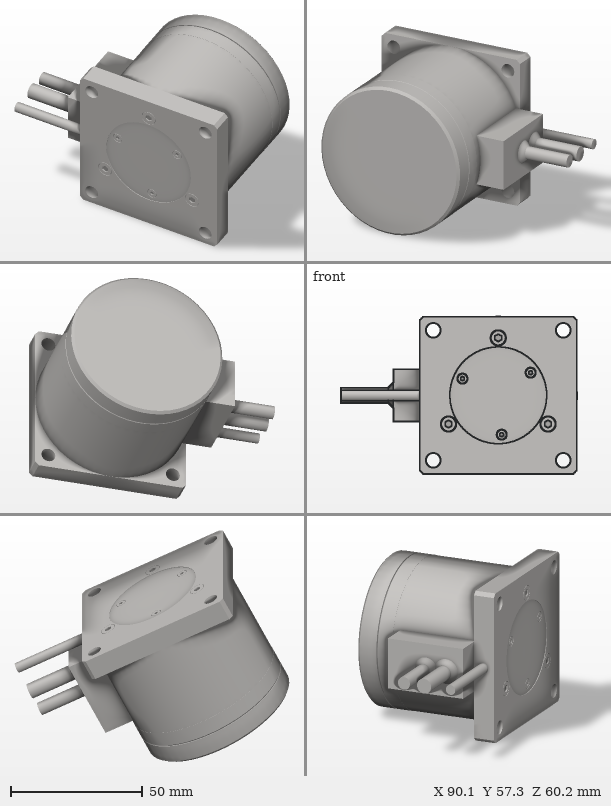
import cadquery as cq


flange_half = 30.0
flange_thickness = 8.4
flange_corner_chamfer = 1.4
mount_hole_offset = 24.8
mount_hole_diameter = 5.5

barrel_radius = flange_half
barrel_end = 42.9

cap_radius = 30.1
cap_end = 57.3
cap_thickness = 8.0
cap_chamfer = 1.0
cap_start = cap_end - cap_thickness
ring_chamfer = 0.5

block_overhang = 10.0
block_half_height = 10.0
block_end = 39.8
block_face = -(flange_half + block_overhang)

cable_end = -60.0
block_cables = [(15.5, 3.0), (24.0, 2.5)]
strain_relief_size = 2.0
flange_cable_y = 4.4
flange_cable_radius = 2.0

recess_radius = 18.5
recess_depth = 0.3

screw_count = 3
hexagon_sides = 6
groove_depth = 0.45
socket_depth = 0.6
flange_screw_circle = 21.9
flange_screw_angle = 90
flange_screw_bore = 3.0
flange_screw_head = 2.8
flange_screw_socket = 1.4
recess_screw_circle = 15.0
recess_screw_angle = 35
recess_screw_bore = 2.0
recess_screw_head = 1.8
recess_screw_socket = 0.8


def disc(radius, start, end, x=0.0, z=0.0):
    """Cylinder parallel to the motor axis, from y = start to y = end."""
    return cq.Workplane(cq.Solid.makeCylinder(radius, end - start, cq.Vector(x, start, z), cq.Vector(0, 1, 0)))


def cable(y, radius, start):
    """Round cable running in -X from x = start to the common cable end."""
    return cq.Workplane(
        cq.Solid.makeCylinder(radius, start - cable_end, cq.Vector(start, y, 0), cq.Vector(-1, 0, 0))
    )


def strain_relief(y, radius):
    """Cone that widens from a cable to the face of the cable block."""
    return cq.Workplane(
        cq.Solid.makeCone(
            radius + strain_relief_size, radius, strain_relief_size,
            cq.Vector(block_face, y, 0), cq.Vector(-1, 0, 0),
        )
    )


def screw_cut(bore, head, socket, face_y):
    """Ring groove and hexagon socket of one screw, centred on the motor axis."""
    groove = disc(bore, face_y, face_y + groove_depth).cut(disc(head, face_y, face_y + groove_depth))
    hexagon = (
        cq.Workplane("XZ", origin=(0, face_y, 0))
        .polygon(hexagon_sides, 2 * socket)
        .extrude(-socket_depth)
    )
    return groove.union(hexagon)


def cut_screws(body, circle, first_angle, bore, head, socket, face_y):
    """Cut a circle of equally spaced screws into a face of the body."""
    cutter = screw_cut(bore, head, socket, face_y).translate((circle, 0, 0))
    for i in range(screw_count):
        angle = first_angle + i * 360 / screw_count
        body = body.cut(cutter.rotate((0, 0, 0), (0, -1, 0), angle))
    return body


def make_flange():
    """Square plate with chamfered corners and a mounting hole in each."""
    flange = (
        cq.Workplane("XZ")
        .rect(2 * flange_half, 2 * flange_half)
        .extrude(-flange_thickness)
        .edges("|Y")
        .chamfer(flange_corner_chamfer)
    )
    for x in (-mount_hole_offset, mount_hole_offset):
        for z in (-mount_hole_offset, mount_hole_offset):
            flange = flange.cut(disc(mount_hole_diameter / 2, 0, flange_thickness, x, z))
    return flange


def make_housing():
    """Flange, barrel, cable block and cables in one piece."""
    barrel = disc(barrel_radius, flange_thickness, barrel_end)
    block = cq.Workplane().box(
        -block_face, block_end - flange_thickness, 2 * block_half_height, centered=(False, False, True)
    ).translate((block_face, flange_thickness, 0))
    housing = make_flange().union(barrel).union(block)

    for y, radius in block_cables:
        housing = housing.union(cable(y, radius, block_face)).union(strain_relief(y, radius))
    housing = housing.union(cable(flange_cable_y, flange_cable_radius, -flange_half))

    housing = housing.cut(disc(recess_radius, 0, recess_depth))
    housing = cut_screws(
        housing, flange_screw_circle, flange_screw_angle,
        flange_screw_bore, flange_screw_head, flange_screw_socket, 0,
    )
    return cut_screws(
        housing, recess_screw_circle, recess_screw_angle,
        recess_screw_bore, recess_screw_head, recess_screw_socket, recess_depth,
    )


def make_ring():
    """Ring with a chamfered edge that forms a groove against the cap."""
    return disc(cap_radius, barrel_end, cap_start).faces(">Y").chamfer(ring_chamfer)


def make_cap():
    """Disc that closes the motor, with a chamfered outer edge."""
    return disc(cap_radius, cap_start, cap_end).faces(">Y").chamfer(cap_chamfer)


housing = make_housing()
ring = make_ring()
cap = make_cap()

result = cq.Compound.makeCompound([housing.val(), ring.val(), cap.val()])